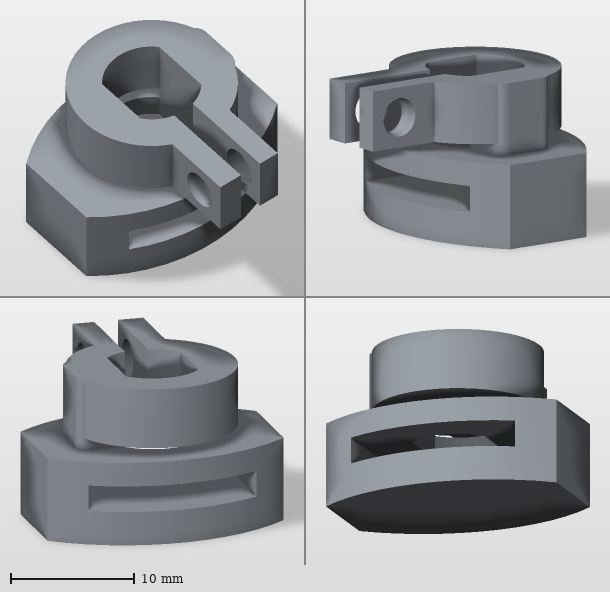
import cadquery as cq


base_width = 15.0
base_length = 20.0
base_height = 7.0
flat_end_width = 7.72

strap_slot_length = 14.25
strap_slot_height = 2.18
strap_slot_bottom = 2.82

ring_radius = 7.0
ring_height = 5.0
ring_gap = 1.0
bore_radius = 4.05
bore_flat_back = 3.0
bore_flat_front = -3.2

ear_tip = 12.5
ear_half_width = 3.0
split_front = -0.85
split_back = 1.15
bolt_diameter = 3.2
bolt_x = 9.85

neck_width = 5.32
neck_corner_radius = 1.0

ring_bottom = base_height + ring_gap
part_top = ring_bottom + ring_height
bolt_z = ring_bottom + ring_height / 2


def block(x_range, y_range, z_range):
    """Make a box from its lower and upper limits on each axis."""
    x_min, x_max = x_range
    y_min, y_max = y_range
    z_min, z_max = z_range
    return cq.Workplane("XY").box(
        x_max - x_min, y_max - y_min, z_max - z_min, centered=False
    ).translate((x_min, y_min, z_min))


def make_base():
    side = base_width / 2
    end = base_length / 2
    corner = flat_end_width / 2
    plate = (
        cq.Workplane("XY")
        .moveTo(-corner, -end)
        .lineTo(corner, -end)
        .threePointArc((side, 0), (corner, end))
        .lineTo(-corner, end)
        .threePointArc((-side, 0), (-corner, -end))
        .close()
        .extrude(base_height)
    )
    strap_slot = block(
        (-side, side),
        (-strap_slot_length / 2, strap_slot_length / 2),
        (strap_slot_bottom, strap_slot_bottom + strap_slot_height),
    )
    return plate.cut(strap_slot)


def make_neck():
    neck = block(
        (-neck_width / 2, neck_width / 2),
        (bore_flat_back, ring_radius),
        (base_height, part_top),
    )
    return neck.edges("|Z and >Y").fillet(neck_corner_radius)


def make_bore():
    """Make the two-flat bore, from the top of the ring down to the strap slot."""
    bottom = strap_slot_bottom + strap_slot_height
    cylinder = cq.Workplane("XY", origin=(0, 0, bottom)).circle(bore_radius).extrude(part_top - bottom)
    between_flats = block(
        (-bore_radius, bore_radius), (bore_flat_front, bore_flat_back), (bottom, part_top)
    )
    return cylinder.intersect(between_flats)


def make_clamp():
    heights = (ring_bottom, part_top)
    ring = cq.Workplane("XY", origin=(0, 0, ring_bottom)).circle(ring_radius).extrude(ring_height)
    ears = block((0, ear_tip), (-ear_half_width, ear_half_width), heights)
    split = block((0, ear_tip), (split_front, split_back), heights)
    bolt_hole = (
        cq.Workplane("XZ", origin=(bolt_x, 0, bolt_z))
        .circle(bolt_diameter / 2)
        .extrude(ear_half_width, both=True)
    )
    return ring.union(ears).cut(split).cut(bolt_hole)


result = make_base().union(make_neck()).union(make_clamp()).cut(make_bore())